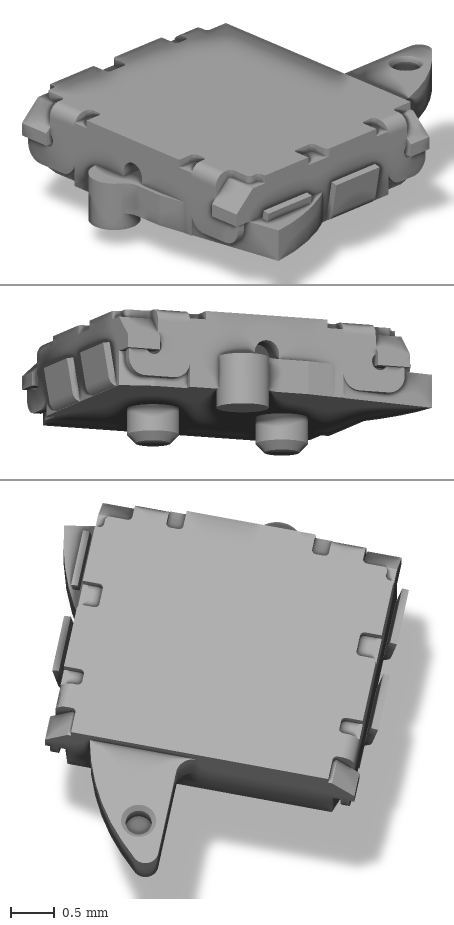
import cadquery as cq
import math


SIDES = (-1, 1)

width = 3.5
depth = 3.0
sheet = 0.1
housing_height = 0.8
side = width / 2
face = depth / 2
cover_top = housing_height + sheet

tab_bottom = 0.4
tab_corner = 0.555
tab_inset = 0.2
tab_overhang = 0.06
tab_size_front = 0.4
tab_size_side = 0.3
neck_front = 0.4
neck_side = 0.3
hook_front = 0.355
hook_side = tab_size_side
leg_bottom = 0.1
leg_corner_radius = 0.2
bend_radius = 0.145
relief_radius = 0.1
relief_offset = 0.05

notch_depth = 0.245
notch_radius = 0.05
notch_margin = 0.095
leg_notch = 0.197
middle_notch = 0.3
middle_notch_y = -0.25
corner_step_width = 0.1
corner_step_length = 0.155

peg_radius = 0.3
peg_length = 0.405
peg_chamfer = 0.1
peg_x = 0.8

arch_radius = 0.15
arch_centre_z = 0.455
arch_depth = 0.3

lever_thickness = 0.385
lever_fillet = 0.2

nub_x = -0.3
nub_radius = 0.3
nub_drop = 0.2
arm_overhang = 0.06
arm_front = -face - arm_overhang
arm_bend_x = 0.495
arm_angle = 10
lower_tip_x = 2.145
lower_arc_middle = (1.995, -0.65)
lower_arc_end = (1.69, -0.07)

upper_left = 0.235
upper_top = 2.9
tip_radius = 0.15
upper_arc_start_x = 0.675
upper_arc_middle = (1.065, 2.12)
upper_arc_end_x = 1.29
upper_root_y = 0.985
hole_centre = (0.535, 2.388)
hole_radius = 0.15
hole_depth = 0.2
hole_chamfer = 0.05
hole_chamfer_angle = 90

terminal_thickness = 0.08
terminal_width = 0.7
terminal_top = 0.51
terminal_lean = 10
terminal_foot = 0.2
terminal_gap = 0.07
terminal_bend_radius = 0.12
terminal_centres_y = (0.25, -0.85)


def block(x, y, z):
    """Box spanning the given (low, high) ranges."""
    return cq.Workplane("XY").box(
        x[1] - x[0], y[1] - y[0], z[1] - z[0], centered=False
    ).translate((x[0], y[0], z[0]))


def both_sides(shape):
    """The shape at -X together with its mirror image at +X."""
    return shape.union(shape.mirror("YZ"))


def place(shape, wall, corner):
    """Move a corner feature from its own frame to the housing.

    In its own frame the feature runs from the housing corner (0, 0) along +X,
    and -Y points out of the wall. It goes to the front wall at the -X, -Y corner,
    or to the -X wall at the -X, +Y corner.
    """
    if wall == "side":
        shape = shape.rotate((0, 0, 0), (0, 0, 1), -90)
    return shape.translate((corner[0], corner[1], 0))


holders = (
    ("front", (-side, -face), tab_size_front, neck_front, hook_front),
    ("side", (-side, face), tab_size_side, neck_side, hook_side),
)


def make_lower_lever():
    nub_y = -face
    fillet_y = arm_front - lever_fillet
    reach = nub_radius + lever_fillet
    fillet_angle = math.asin((nub_y - fillet_y) / reach)
    fillet_x = nub_x + reach * math.cos(fillet_angle)
    nub_tangent = (
        nub_x + nub_radius * math.cos(fillet_angle),
        nub_y - nub_radius * math.sin(fillet_angle),
    )
    middle_angle = (math.pi - fillet_angle + math.pi / 2) / 2
    fillet_middle = (
        fillet_x + lever_fillet * math.cos(middle_angle),
        fillet_y + lever_fillet * math.sin(middle_angle),
    )
    tip_y = arm_front + (lower_tip_x - arm_bend_x) * math.tan(math.radians(arm_angle))

    arm = (
        cq.Workplane("XY")
        .moveTo(nub_x, nub_y)
        .lineTo(*nub_tangent)
        .threePointArc(fillet_middle, (fillet_x, arm_front))
        .lineTo(arm_bend_x, arm_front)
        .lineTo(lower_tip_x, tip_y)
        .threePointArc(lower_arc_middle, lower_arc_end)
        .close()
        .extrude(lever_thickness)
    )
    nub = (
        cq.Workplane("XY", origin=(nub_x, nub_y, -nub_drop))
        .circle(nub_radius)
        .extrude(nub_drop + lever_thickness)
    )
    return arm.union(nub)


def make_upper_lever():
    tip_centre = (upper_left + tip_radius, upper_top - tip_radius)
    diagonal = math.sin(math.radians(45))
    tip_end = (tip_centre[0] + tip_radius * diagonal, tip_centre[1] + tip_radius * diagonal)
    arc_start = (upper_arc_start_x, tip_end[1] - (upper_arc_start_x - tip_end[0]))
    root_left = upper_left - lever_fillet
    fillet_centre_y = face + lever_fillet
    fillet_middle = (
        root_left + lever_fillet * diagonal,
        fillet_centre_y - lever_fillet * diagonal,
    )

    blade = (
        cq.Workplane("XY", origin=(0, 0, lever_thickness))
        .moveTo(root_left, upper_root_y)
        .lineTo(root_left, face)
        .threePointArc(fillet_middle, (upper_left, fillet_centre_y))
        .lineTo(upper_left, tip_centre[1])
        .threePointArc((tip_centre[0], upper_top), tip_end)
        .lineTo(*arc_start)
        .threePointArc(upper_arc_middle, (upper_arc_end_x, face))
        .lineTo(upper_arc_end_x, upper_root_y)
        .close()
        .extrude(lever_thickness)
    )
    blade_top = blade.faces(">Z").workplane(origin=(*hole_centre, 2 * lever_thickness))
    rim_diameter = 2 * (hole_radius + hole_chamfer)
    return blade_top.cskHole(2 * hole_radius, rim_diameter, hole_chamfer_angle, depth=hole_depth)


def make_terminal(x_side, centre_y):
    lean = math.radians(terminal_lean)
    across_x = terminal_thickness * math.cos(lean)
    across_z = terminal_thickness * math.sin(lean)
    outer_top_z = terminal_top - across_z
    outer_top_x = side + terminal_gap + outer_top_z * math.tan(lean)
    inner_bottom_x = (
        outer_top_x - across_x - (terminal_top - terminal_thickness) * math.tan(lean)
    )
    terminal = (
        cq.Workplane("XZ", origin=(0, terminal_width / 2, 0))
        .polyline(
            [
                (side - terminal_foot, 0),
                (side + terminal_gap, 0),
                (outer_top_x, outer_top_z),
                (outer_top_x - across_x, terminal_top),
                (inner_bottom_x, terminal_thickness),
                (side - terminal_foot, terminal_thickness),
            ]
        )
        .close()
        .extrude(terminal_width)
    )
    outer_bend = cq.selectors.NearestToPointSelector((side + terminal_gap, 0, 0))
    terminal = terminal.edges("|Y").edges(outer_bend).fillet(terminal_bend_radius)
    if x_side < 0:
        terminal = terminal.mirror("YZ")
    return terminal.translate((0, centre_y, 0))


def make_leg(tab_size, neck, hook):
    end = tab_size + neck
    start = tab_size - hook
    hook_bar = block((start, end), (0, sheet), (leg_bottom, tab_bottom))
    hook_bar = hook_bar.edges("|Y and <Z").fillet(leg_corner_radius)
    upright = block((tab_size, end), (0, sheet), (tab_bottom, cover_top))
    strip = block((tab_size, end), (0, notch_depth), (housing_height, cover_top))
    neck_bar = upright.union(strip)
    neck_bar = neck_bar.edges("|X and <Y and >Z").fillet(bend_radius)
    relief = (
        cq.Workplane("XZ")
        .center(tab_size - relief_offset, tab_bottom + relief_offset)
        .circle(relief_radius)
        .extrude(-sheet)
    )
    return hook_bar.union(neck_bar).cut(relief)


def make_plate():
    heights = (housing_height, cover_top)
    plate = block((-side, side), (-face, face), heights)
    outside_x = -side - notch_margin
    outside_y = -face - notch_margin
    notch_x = (outside_x, -side + notch_depth)
    notch_y = (outside_y, -face + notch_depth)

    step_y = -face + notch_depth
    corner = block((outside_x, -side + tab_size_front), notch_y, heights).union(
        block((outside_x, -side + corner_step_width), (outside_y, step_y + corner_step_length), heights)
    )
    front_neck_end = -side + tab_size_front + neck_front
    side_neck_end = face - tab_size_side - neck_side
    cutouts = (
        corner,
        block((front_neck_end, front_neck_end + leg_notch), notch_y, heights),
        block(notch_x, (face - tab_size_side, face + notch_margin), heights),
        block(notch_x, (side_neck_end - leg_notch, side_neck_end), heights),
        block(
            notch_x,
            (middle_notch_y - middle_notch / 2, middle_notch_y + middle_notch / 2),
            heights,
        ),
    )
    for cutout in cutouts:
        plate = plate.cut(both_sides(cutout.edges("|Z").fillet(notch_radius)))

    for x_side in SIDES:
        rim_corner = cq.selectors.NearestToPointSelector(
            (x_side * side, middle_notch_y + middle_notch / 2, housing_height + sheet / 2)
        )
        plate = plate.edges("|Z").edges(rim_corner).fillet(notch_radius)

    for wall, corner_point, tab_size, neck, _ in holders:
        strip = block((tab_size, tab_size + neck), (0, notch_depth), heights)
        plate = plate.cut(both_sides(place(strip, wall, corner_point)))
    return plate


def make_cover():
    cover = make_plate()
    for wall, corner, tab_size, neck, hook in holders:
        leg = make_leg(tab_size, neck, hook)
        cover = cover.union(both_sides(place(leg, wall, corner)))
    return cover


def make_recess(tab_size, neck):
    """Pocket for a leg: flat behind the neck, deeper towards the corner."""
    end = tab_size + neck
    return (
        cq.Workplane("XY")
        .polyline([(0, 0), (end, 0), (end, sheet), (tab_size, sheet), (0, tab_inset)])
        .close()
        .extrude(housing_height)
    )


def make_tab(tab_size):
    """Tab with a sloping top that overhangs the wall."""
    return (
        cq.Workplane("YZ")
        .polyline(
            [
                (tab_inset, tab_bottom),
                (tab_inset, housing_height),
                (-tab_overhang, tab_corner),
                (-tab_overhang, tab_bottom),
            ]
        )
        .close()
        .extrude(tab_size)
    )


def make_housing():
    housing = block((-side, side), (-face, face), (0, housing_height))
    for wall, corner, tab_size, neck, _ in holders:
        tab_space = block((0, tab_size), (0, tab_inset), (tab_bottom, housing_height))
        pocket = make_recess(tab_size, neck).union(tab_space)
        housing = housing.cut(both_sides(place(pocket, wall, corner)))
        housing = housing.union(both_sides(place(make_tab(tab_size), wall, corner)))

    for x_side in SIDES:
        peg = (
            cq.Workplane("XY", origin=(x_side * peg_x, 0, 0))
            .circle(peg_radius)
            .extrude(-peg_length)
            .faces("<Z")
            .chamfer(peg_chamfer)
        )
        housing = housing.union(peg)

    arch_top = (
        cq.Workplane("XZ", origin=(0, -face, arch_centre_z))
        .circle(arch_radius)
        .extrude(-arch_depth)
    )
    arch_legs = block(
        (-arch_radius, arch_radius),
        (-face, -face + arch_depth),
        (lever_thickness, arch_centre_z),
    )
    return housing.cut(arch_top.union(arch_legs))


cover = make_cover()
terminals = [make_terminal(x_side, y) for x_side in SIDES for y in terminal_centres_y]

lower_lever = make_lower_lever().cut(cover)
upper_lever = make_upper_lever()
housing = make_housing().cut(lower_lever).cut(upper_lever)
for terminal in terminals:
    lower_lever = lower_lever.cut(terminal)
    housing = housing.cut(terminal)

result = cq.Compound.makeCompound(
    [
        housing.solids().val(),
        cover.solids().val(),
        lower_lever.solids().val(),
        upper_lever.solids().val(),
        *[terminal.solids().val() for terminal in terminals],
    ]
)